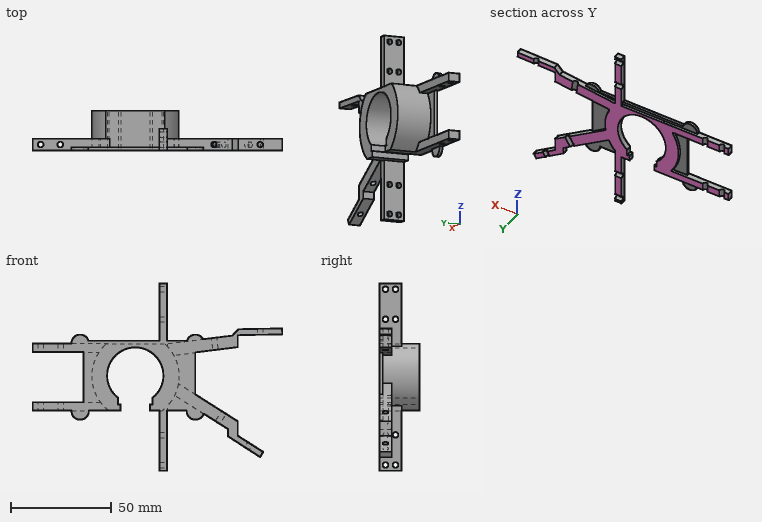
import cadquery as cq
import math


overall_length = 124.6
overall_height = 93.56

body_radius = 21.8
body_axis_z = -0.2
body_depth = 19.98
body_top = 15.98
body_bottom = -17.5

bore_radius = 14.0
opening_width = 17.2
lip_width = 14.5
lip_top = -14.4

plate_thickness = 1.68
plate_left = -25.9
plate_right = 30.0
plate_top = 17.5
plate_bottom = body_bottom
lobe_radius = 4.4
left_lobe_x = -27.5
right_lobe_x = plate_right
upper_lobe_z = 16.1
lower_lobe_z = -17.65

arm_depth = 6.0
left_arm_start = -51.2
left_arm_end = -12.7
left_arm_height = 4.3
upper_left_arm_top = 16.05
lower_left_arm_bottom = body_bottom

upright_left = 12.0
upright_thickness = 3.9
upright_right = upright_left + upright_thickness
upright_depth = 11.0
upright_top = 46.06
upright_bottom = upright_top - overall_height

arm_step_x = 51.2
right_arm_tip = left_arm_start + overall_length

upper_arm_root_x = upright_left
upper_arm_slope = math.radians(7.1)
upper_arm_rise = (arm_step_x - upper_arm_root_x) * math.tan(upper_arm_slope)
upper_arm_step_bottom = 14.15
upper_arm_ramp_foot = (48.4, 20.0)
upper_arm_ramp_head = (51.5, 23.2)
upper_tip_bottom_start = 20.1
upper_tip_bottom_end = 20.5
upper_tip_top = 23.6
upper_tip_lean = 0.1
upper_arm_foot_rise = (upper_arm_ramp_foot[0] - upper_arm_root_x) * math.tan(upper_arm_slope)
upper_arm_outline = [
    (upper_arm_root_x, upper_arm_ramp_foot[1] - upper_arm_foot_rise),
    upper_arm_ramp_foot,
    upper_arm_ramp_head,
    (right_arm_tip - upper_tip_lean, upper_tip_top),
    (right_arm_tip, upper_tip_bottom_end),
    (arm_step_x, upper_tip_bottom_start),
    (arm_step_x, upper_arm_step_bottom),
    (upper_arm_root_x, upper_arm_step_bottom - upper_arm_rise),
]

lower_arm_root_x = 19.0
lower_arm_slope = math.radians(32.4)
lower_arm_step_left = 46.2
lower_arm_step_top = -22.8
lower_arm_step_bottom = -26.7
lower_tip_top_start = -30.0
lower_tip_bottom_start = -30.3
lower_tip_top_end = (63.9, -38.1)
lower_tip_bottom_end = (62.3, -40.7)
lower_arm_top_drop = (arm_step_x - lower_arm_root_x) * math.tan(lower_arm_slope)
lower_arm_bottom_drop = (lower_arm_step_left - lower_arm_root_x) * math.tan(lower_arm_slope)
lower_arm_outline = [
    (lower_arm_root_x, lower_arm_step_top + lower_arm_top_drop),
    (arm_step_x, lower_arm_step_top),
    (arm_step_x, lower_tip_top_start),
    lower_tip_top_end,
    lower_tip_bottom_end,
    (lower_arm_step_left, lower_tip_bottom_start),
    (lower_arm_step_left, lower_arm_step_bottom),
    (lower_arm_root_x, lower_arm_step_bottom + lower_arm_bottom_drop),
]

hole_diameter = 2.7
hole_inset = 3.0
left_arm_hole_xs = (-47.2, -37.4)
upper_root_hole = (39.2, 18.9)
upper_tip_hole = (62.3, 23.4)
lower_root_hole = (44.1, -18.3)
lower_tip_hole = (57.2, -33.8)
right_arm_hole_length = 16.0
upright_hole_ys = (hole_inset, 8.0)
upright_hole_zs = (43.1, 28.1, -29.6, -44.6)


def block(x_min, x_max, z_min, z_max, depth):
    """Box reaching back from the front face by depth."""
    return cq.Workplane("XY").box(
        x_max - x_min, depth, z_max - z_min, centered=False
    ).translate((x_min, 0, z_min))


def disc(x, z, radius, depth):
    """Disc reaching back from the front face by depth."""
    return cq.Workplane("XZ").center(x, z).circle(radius).extrude(-depth)


def profile(outline, depth):
    """Closed XZ outline reaching back from the front face by depth."""
    return cq.Workplane("XZ").polyline(outline).close().extrude(-depth)


def hole(point, direction, diameter, length):
    """Cutting cylinder centred on point, running along direction."""
    axis = cq.Vector(*direction).normalized()
    start = cq.Vector(*point) - axis * (length / 2)
    return cq.Workplane(cq.Solid.makeCylinder(diameter / 2, length, start, axis))


def make_body():
    trim = block(-body_radius, body_radius, body_bottom, body_top, body_depth)
    return disc(0, body_axis_z, body_radius, body_depth).intersect(trim)


def make_plate():
    plate = block(plate_left, plate_right, plate_bottom, plate_top, plate_thickness)
    for x in (left_lobe_x, right_lobe_x):
        for z in (upper_lobe_z, lower_lobe_z):
            plate = plate.union(disc(x, z, lobe_radius, plate_thickness))
    return plate


def make_left_arms():
    upper = block(left_arm_start, left_arm_end,
                  upper_left_arm_top - left_arm_height, upper_left_arm_top, arm_depth)
    lower = block(left_arm_start, left_arm_end,
                  lower_left_arm_bottom, lower_left_arm_bottom + left_arm_height, arm_depth)
    return upper.union(lower)


def make_opening():
    bore = disc(0, 0, bore_radius, body_depth)
    neck = block(-opening_width / 2, opening_width / 2, lip_top, 0, body_depth)
    mouth = block(-lip_width / 2, lip_width / 2, body_bottom, 0, body_depth)
    return bore.union(neck).union(mouth)


def make_left_arm_holes():
    """Vertical holes through both left arms."""
    holes = cq.Workplane("XY")
    for x in left_arm_hole_xs:
        holes = holes.add(hole((x, hole_inset, 0), (0, 0, 1), hole_diameter, overall_height))
    return holes.combine()


def make_right_arm_hole(place, tilt):
    """Hole through a right arm at an XZ place on its top, square to a surface rising by tilt."""
    x, z = place
    direction = (-math.sin(tilt), 0, math.cos(tilt))
    return hole((x, hole_inset, z), direction, hole_diameter, right_arm_hole_length)


def make_upright_holes():
    """Holes along X through the two bars of the upright."""
    middle = (upright_left + upright_right) / 2
    holes = cq.Workplane("XY")
    for y in upright_hole_ys:
        for z in upright_hole_zs:
            cutter = hole((middle, y, z), (1, 0, 0), hole_diameter, 2 * upright_thickness)
            holes = holes.add(cutter)
    return holes.combine()


result = make_body().union(make_plate()).union(make_left_arms())
result = result.union(profile(upper_arm_outline, arm_depth))
result = result.union(profile(lower_arm_outline, arm_depth))
result = result.union(block(upright_left, upright_right, upright_bottom, upright_top, upright_depth))
result = result.cut(make_opening())
result = result.cut(make_left_arm_holes())
result = result.cut(make_right_arm_hole(upper_root_hole, upper_arm_slope))
result = result.cut(make_right_arm_hole(upper_tip_hole, 0))
result = result.cut(make_right_arm_hole(lower_root_hole, -lower_arm_slope))
result = result.cut(make_right_arm_hole(lower_tip_hole, -lower_arm_slope))
result = result.cut(make_upright_holes())